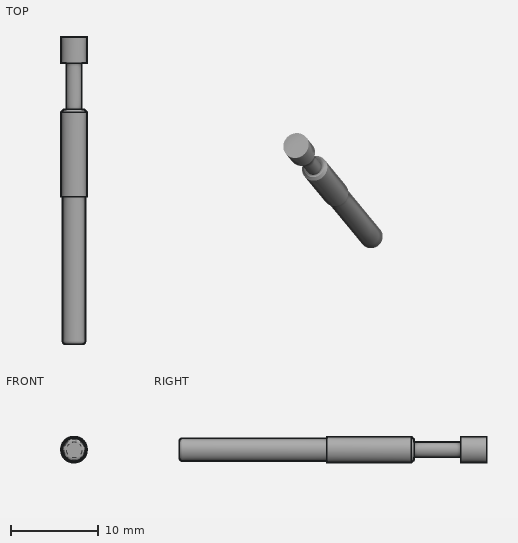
import cadquery as cq

total_length = 35.3
head_diameter = 3.0
head_length = 3.0
neck_diameter = 1.8
neck_length = 5.33
sleeve_diameter = head_diameter
sleeve_length = 10.03
sleeve_edge_chamfer = 0.32
tail_diameter = 2.65
tail_tip_radius = 0.4

head_end = total_length / 2
neck_start = head_end - head_length
sleeve_start = neck_start - neck_length
tail_start = sleeve_start - sleeve_length
tail_tip = -total_length / 2


def cylinder(diameter, y_from, y_to):
    """Solid cylinder on the Y axis, from y_from up to the larger y_to."""
    base = cq.Plane(origin=(0, y_from, 0), xDir=(1, 0, 0), normal=(0, 1, 0))
    return cq.Workplane(base).circle(diameter / 2).extrude(y_to - y_from)


head = cylinder(head_diameter, neck_start, head_end)
neck = cylinder(neck_diameter, sleeve_start, neck_start)

sleeve = cylinder(sleeve_diameter, tail_start, sleeve_start)
sleeve = sleeve.faces(">Y").edges().chamfer(sleeve_edge_chamfer)

tail = cylinder(tail_diameter, tail_tip, tail_start)
tail = tail.faces("<Y").edges().fillet(tail_tip_radius)

result = head.union(neck).union(sleeve).union(tail)